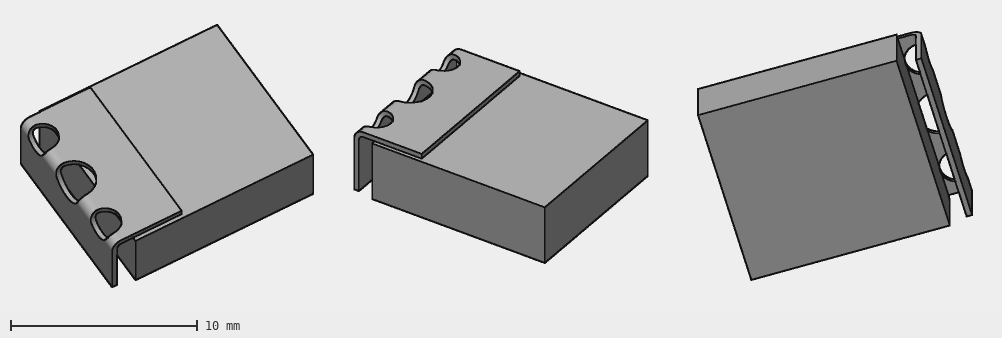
import cadquery as cq
import math

total_length = 12.4
total_height = 3.9
block_width = 10.0
block_length = 11.09

sheet = 0.31
bracket_width = 9.5
bracket_length = 4.34
bend_inner = 0.3

side_hole_x = 3.25
side_hole_diameter = 1.75
middle_hole_diameter = 2.4
holes = [
    (-side_hole_x, side_hole_diameter),
    (0, middle_hole_diameter),
    (side_hole_x, side_hole_diameter),
]
hole_past_bend_start = 0.14
bend_sections = 9

block_height = total_height - sheet
block_front = total_length - block_length
bend_outer = bend_inner + sheet
bend_neutral = bend_inner + sheet / 2
bend_run = bend_neutral * math.pi / 2
bend_y = bend_outer
bend_z = total_height - bend_outer


def make_block():
    """Plain rectangular body."""
    return cq.Workplane("XY").box(
        block_width, block_length, block_height, centered=(True, False, False)
    ).translate((0, block_front, 0))


def make_bent_sheet():
    """L-shaped sheet with a rounded bend, before the holes are punched."""
    outer_mid = bend_outer * math.sqrt(0.5)
    inner_mid = bend_inner * math.sqrt(0.5)
    return (
        cq.Workplane("YZ")
        .moveTo(0, 0)
        .lineTo(0, bend_z)
        .threePointArc((bend_y - outer_mid, bend_z + outer_mid), (bend_y, total_height))
        .lineTo(bracket_length, total_height)
        .lineTo(bracket_length, block_height)
        .lineTo(bend_y, block_height)
        .threePointArc((bend_y - inner_mid, bend_z + inner_mid), (sheet, bend_z))
        .lineTo(sheet, 0)
        .close()
        .extrude(bracket_width / 2, both=True)
    )


def top_hole_cutter(x, diameter):
    """Part of the hole that falls on the horizontal leg."""
    disc = (
        cq.Workplane("XY", origin=(x, bend_y - hole_past_bend_start, block_height))
        .circle(diameter / 2)
        .extrude(sheet)
    )
    leg = cq.Workplane("XY").box(
        bracket_width, bracket_length, total_height, centered=(True, False, False)
    ).translate((0, bend_y, 0))
    return disc.intersect(leg)


def front_hole_cutter(x, diameter):
    """Part of the hole that falls on the vertical leg."""
    centre_z = bend_z + bend_run - hole_past_bend_start
    disc = (
        cq.Workplane("XZ", origin=(x, sheet, centre_z))
        .circle(diameter / 2)
        .extrude(sheet)
    )
    leg = cq.Workplane("XY").box(
        bracket_width, sheet, bend_z, centered=(True, False, False)
    )
    return disc.intersect(leg)


def bend_hole_cutter(x, diameter):
    """Part of the hole wrapped around the bend, with walls square to the sheet."""
    inner = bend_inner / 2
    outer = bend_outer + sheet / 2
    wires = []
    for index in range(bend_sections):
        turn = index / (bend_sections - 1)
        angle = turn * math.pi / 2
        along = turn * bend_run - hole_past_bend_start
        half_width = math.sqrt((diameter / 2) ** 2 - along**2)
        corners = [
            cq.Vector(
                x + side * half_width,
                bend_y - radius * math.sin(angle),
                bend_z + radius * math.cos(angle),
            )
            for side, radius in ((-1, inner), (1, inner), (1, outer), (-1, outer))
        ]
        wires.append(cq.Wire.makePolygon(corners, close=True))
    return cq.Workplane(obj=cq.Solid.makeLoft(wires))


def make_bracket():
    """Bent sheet with its three punched holes."""
    bracket = make_bent_sheet()
    for x, diameter in holes:
        bracket = bracket.cut(top_hole_cutter(x, diameter))
        bracket = bracket.cut(front_hole_cutter(x, diameter))
        bracket = bracket.cut(bend_hole_cutter(x, diameter))
    return bracket


result = make_block().union(make_bracket())